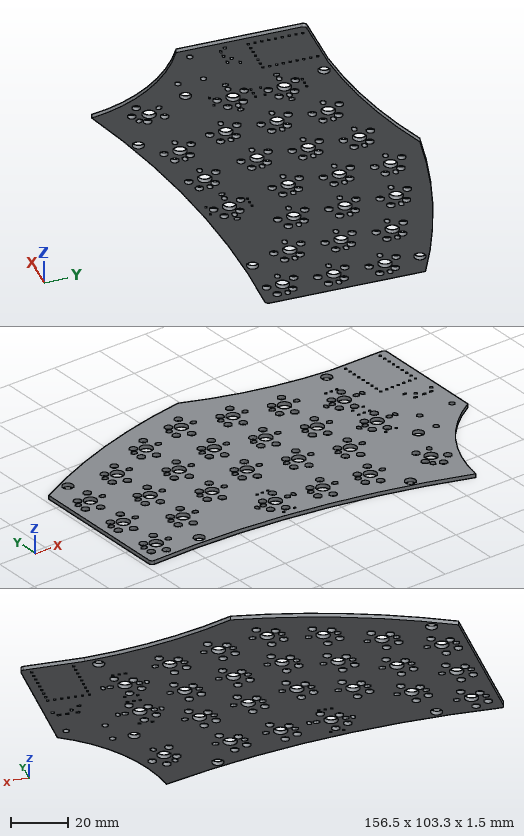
import cadquery as cq
import math

length = 156.5
width = 103.3
thickness = 1.5
half_length = length / 2
half_width = width / 2

left_top_y = 26.6
left_bottom_y = -32.9
right_top_y = 38.0
right_bottom_y = -10.2
crest_x = -2.3
tip_x = 50.3
top_straight_start_x = 54.8
crown_mid = (-41.2, 42.6)
neck_mid = (25.0, 42.6)
thumb_notch_mid = (60.6, -26.3)
bottom_mid = (-10.5, -36.5)
corner_radius = 1.4

column_span = 114.5
column_gaps = 6
pitch = column_span / column_gaps
first_column_x = -68.9
first_column_y = -4.2
index_y = first_column_y + pitch / 2
middle_y = index_y + 8.3
peak_y = middle_y + pitch / 4
column_middle_ys = [first_column_y, index_y, middle_y, peak_y, middle_y, middle_y - pitch / 4]
dial_column_x = first_column_x + column_span
dial_ys = [peak_y, peak_y - pitch]

thumb_x = -17.4
thumb_y = -24.6
thumb_drop = pitch / 8
thumb_count = 3
turned_key = (dial_column_x, -32.0)
turned_key_angle = 60.0

stem_diameter = 5.0
contact_diameter = 3.0
contact_offsets = [(-3.8, 2.5), (2.5, 5.0), (0.0, -6.0), (-5.0, -3.8)]
peg_offset = 5.3
peg_length = 2.3
peg_width = 1.9

dial_pin_length = 1.0
dial_pin_width = 0.6
dial_pin_spacing = 2.3
dial_upper_pins_y = 7.5
dial_lower_pins_y = -8.0
dial_lug_offset = 8.0
dial_lug_height = 2.2
dial_lug_width = 1.5

header_pin_diameter = 0.85
header_left_x = 59.3
header_bottom_y = 15.3
header_row_length = 20.4
header_side_pins = 9
header_bottom_pins = 7
header_pin_spacing = header_row_length / (header_side_pins - 1)

jack_peg_diameter = 1.2
jack_peg_y = 6.9
jack_peg_xs = [68.3, 75.2]
jack_slot_length = 1.4
jack_slot_width = 0.8
jack_slots = [(65.0, 9.0), (66.5, 4.7), (70.5, 4.7), (73.5, 4.7)]

mount_diameter = 4.2
mount_points = [(-68.9, 27.9), (50.4, 34.9), (52.0, -16.1), (-54.5, -29.3), (28.8, -42.0)]
button_diameter = 2.2
button_points = [(59.8, -6.5), (74.0, -6.5), (59.8, -16.1)]


def make_board():
    """Plate outline with arched edges and two rounded corners."""
    outline = (
        cq.Workplane("XY")
        .moveTo(-half_length, left_bottom_y)
        .lineTo(-half_length, left_top_y)
        .threePointArc(crown_mid, (crest_x, half_width))
        .threePointArc(neck_mid, (top_straight_start_x, right_top_y))
        .lineTo(half_length, right_top_y)
        .lineTo(half_length, right_bottom_y)
        .threePointArc(thumb_notch_mid, (tip_x, -half_width))
        .threePointArc(bottom_mid, (-half_length, left_bottom_y))
        .close()
    )
    board = outline.extrude(thickness)
    rounded_corners = [(-half_length, left_bottom_y), (half_length, right_top_y)]
    for x, y in rounded_corners:
        corner = cq.selectors.NearestToPointSelector((x, y, thickness / 2))
        board = board.edges(corner).fillet(corner_radius)
    return board


def round_cutters(points, diameter):
    circles = cq.Workplane("XY").pushPoints(points).circle(diameter / 2)
    return circles.extrude(thickness).vals()


def slot_cutters(points, slot_length, slot_width, angle=0):
    slots = cq.Workplane("XY").pushPoints(points).slot2D(slot_length, slot_width, angle)
    return slots.extrude(thickness).vals()


def around(centre, offsets, angle=0):
    """Places offsets around a centre after turning them by an angle in degrees."""
    cosine = math.cos(math.radians(angle))
    sine = math.sin(math.radians(angle))
    return [
        (centre[0] + x * cosine - y * sine, centre[1] + x * sine + y * cosine)
        for x, y in offsets
    ]


def key_cutters(centre, angle=0):
    """Stem hole, two guide pegs and four contact holes of one key."""
    pegs = around(centre, [(-peg_offset, 0), (peg_offset, 0)], angle)
    contacts = around(centre, contact_offsets, angle)
    return (
        round_cutters([centre], stem_diameter)
        + round_cutters(contacts, contact_diameter)
        + slot_cutters(pegs, peg_length, peg_width, angle)
    )


def dial_cutters(centre):
    """Three pins above, two pins below and a lug on each side of a key."""
    upper = [(i * dial_pin_spacing, dial_upper_pins_y) for i in (-1, 0, 1)]
    lower = [(i * dial_pin_spacing, dial_lower_pins_y) for i in (-1, 1)]
    lugs = around(centre, [(-dial_lug_offset, 0), (dial_lug_offset, 0)])
    return (
        slot_cutters(around(centre, upper + lower), dial_pin_length, dial_pin_width)
        + slot_cutters(lugs, dial_lug_height, dial_lug_width, 90)
    )


def header_cutters():
    points = []
    for column in range(header_bottom_pins):
        is_side = column in (0, header_bottom_pins - 1)
        rows = header_side_pins if is_side else 1
        x = header_left_x + column * header_pin_spacing
        points += [(x, header_bottom_y + row * header_pin_spacing) for row in range(rows)]
    return round_cutters(points, header_pin_diameter)


def jack_cutters():
    pegs = [(x, jack_peg_y) for x in jack_peg_xs]
    return (
        round_cutters(pegs, jack_peg_diameter)
        + slot_cutters(jack_slots, jack_slot_length, jack_slot_width)
    )


grid_keys = [
    (first_column_x + column * pitch, middle + row * pitch)
    for column, middle in enumerate(column_middle_ys)
    for row in (-1, 0, 1)
]
dial_column_keys = [(dial_column_x, y) for y in dial_ys]
thumb_keys = [(thumb_x + i * pitch, thumb_y - i * thumb_drop) for i in range(thumb_count)]

cutters = key_cutters(turned_key, turned_key_angle)
for key in grid_keys + dial_column_keys + thumb_keys:
    cutters += key_cutters(key)
for key in dial_column_keys + thumb_keys[:1]:
    cutters += dial_cutters(key)
cutters += header_cutters()
cutters += jack_cutters()
cutters += round_cutters(mount_points, mount_diameter)
cutters += round_cutters(button_points, button_diameter)

result = cq.Workplane("XY").newObject([make_board().val().cut(*cutters)])